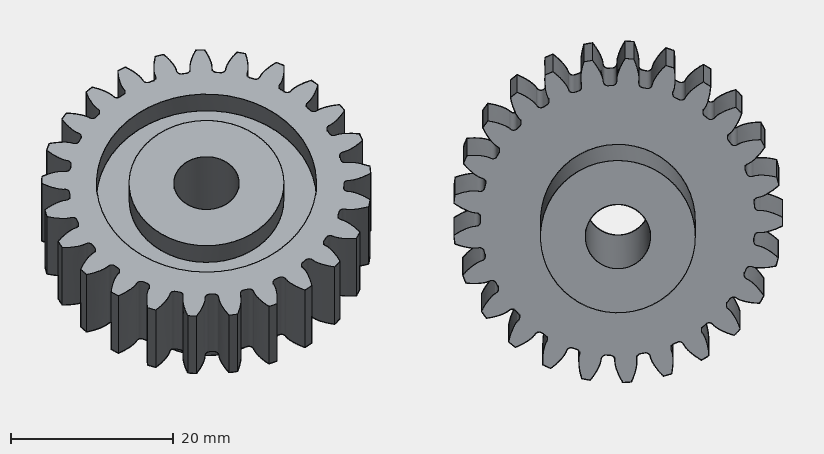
import cadquery as cq
import math


tooth_count = 25
pressure_angle = math.radians(20)
addendum_factor = 1.0
dedendum_factor = 1.25
fillet_factor = 0.38
flank_steps = 6

width_across_x = 40.45
overall_height = 23.0
gear_height = 12.0
hub_radius = 9.5
bore_radius = 4.0
recess_radius = 13.5
recess_depth = 3.5


def involute(angle):
    """Polar angle swept by an involute up to the given pressure angle."""
    return math.tan(angle) - angle


tooth_pitch = 2 * math.pi / tooth_count
first_tooth_angle = -math.pi / 2
base_half_angle = tooth_pitch / 4 + involute(pressure_angle)
tip_ratio = tooth_count / (tooth_count + 2 * addendum_factor)
tip_pressure_angle = math.acos(tip_ratio * math.cos(pressure_angle))
tip_half_angle = base_half_angle - involute(tip_pressure_angle)

tip_radius = width_across_x / 2 / math.cos(tooth_pitch / 4 - tip_half_angle)
module = 2 * tip_radius / (tooth_count + 2 * addendum_factor)
pitch_radius = module * tooth_count / 2
base_radius = pitch_radius * math.cos(pressure_angle)
root_radius = pitch_radius - dedendum_factor * module

fillet_radius = fillet_factor * module
fillet_center_radius = root_radius + fillet_radius
fillet_angle = math.asin(fillet_radius / fillet_center_radius)
fillet_top_radius = fillet_center_radius * math.cos(fillet_angle)


def polar(radius, angle):
    return (radius * math.cos(angle), radius * math.sin(angle))


def flank_points(center, side):
    """Points on one involute flank, from the base circle to the tip circle."""
    points = []
    for step in range(flank_steps + 1):
        radius = base_radius + (tip_radius - base_radius) * step / flank_steps
        local_pressure_angle = math.acos(min(1.0, base_radius / radius))
        half_angle = base_half_angle - involute(local_pressure_angle)
        points.append(polar(radius, center + side * half_angle))
    return points


def fillet_points(center, side):
    """Root fillet from the root circle to the flank: start, middle and end."""
    foot_angle = center + side * base_half_angle
    fillet_center_angle = foot_angle + side * fillet_angle
    start = polar(root_radius, fillet_center_angle)
    end = polar(fillet_top_radius, foot_angle)
    center_x, center_y = polar(fillet_center_radius, fillet_center_angle)
    inward = fillet_center_angle + math.pi
    tangent_span = math.pi / 2 - fillet_angle
    offset_x, offset_y = polar(fillet_radius, inward + side * tangent_span / 2)
    return start, (center_x + offset_x, center_y + offset_y), end


def add_tooth(outline, center):
    """Add one tooth and the root arc after it, going counter-clockwise."""
    _, rise_middle, rise_end = fillet_points(center, -1)
    fall_end, fall_middle, fall_start = fillet_points(center, 1)
    rising_flank = flank_points(center, -1)
    falling_flank = flank_points(center, 1)[::-1]
    next_start, _, _ = fillet_points(center + tooth_pitch, -1)
    outline = outline.threePointArc(rise_middle, rise_end)
    outline = outline.lineTo(*rising_flank[0])
    outline = outline.spline(rising_flank[1:], includeCurrent=True)
    outline = outline.threePointArc(polar(tip_radius, center), falling_flank[0])
    outline = outline.spline(falling_flank[1:], includeCurrent=True)
    outline = outline.lineTo(*fall_start)
    outline = outline.threePointArc(fall_middle, fall_end)
    root_middle = polar(root_radius, center + tooth_pitch / 2)
    return outline.threePointArc(root_middle, next_start)


def make_gear():
    """Toothed wheel with its lower face at the top of the projecting hub."""
    start, _, _ = fillet_points(first_tooth_angle, -1)
    outline = cq.Workplane("XY", origin=(0, 0, overall_height - gear_height)).moveTo(*start)
    for tooth in range(tooth_count):
        outline = add_tooth(outline, first_tooth_angle + tooth * tooth_pitch)
    return outline.close().extrude(gear_height)


def make_recess():
    """Ring cut from the top face, leaving the hub standing flush with it."""
    floor = cq.Workplane("XY", origin=(0, 0, overall_height - recess_depth))
    return floor.circle(recess_radius).circle(hub_radius).extrude(recess_depth)


hub = cq.Workplane("XY").circle(hub_radius).extrude(overall_height)
bore = cq.Workplane("XY").circle(bore_radius).extrude(overall_height)

result = make_gear().cut(make_recess()).union(hub).cut(bore)